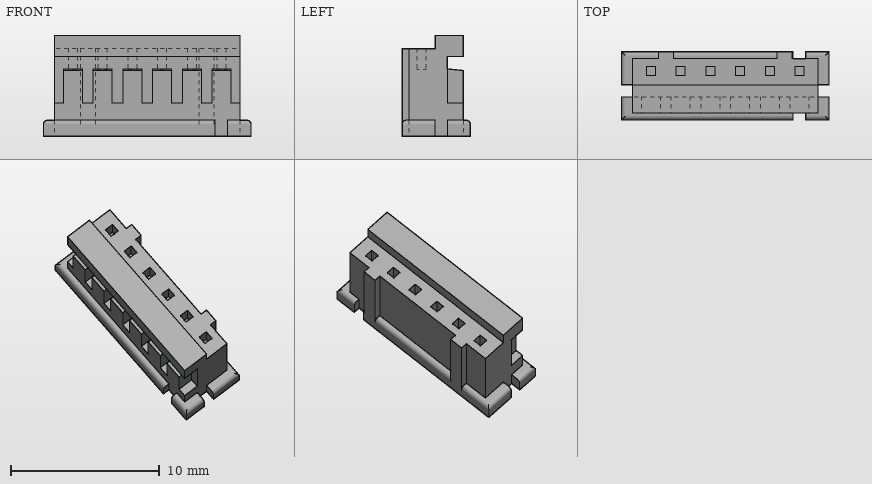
import cadquery as cq

flange_length = 14.0
flange_width = 4.6
flange_height = 1.09
flange_radius = 0.3
body_length = 12.5
body_width = 3.67
body_height = 6.8

ledge_height = 5.91
ledge_front = 0.07
recess_back = -0.74
recess_bottom = 2.24
recess_top = 5.36

contact_count = 6
contact_pitch = 2.0
tooth_width = 1.29
tooth_back_height = 4.55
tooth_front_height = 4.44
hole_size = 0.6
hole_y = 1.0
hole_depth = 1.4

rib_width = 1.01
rib_offset = 3.99

gap_left = 4.56
gap_width = 0.84

body_front = -body_width / 2
body_back = body_width / 2
flange_back = flange_width / 2


def block(x_min, x_max, y_min, y_max, z_min, z_max):
    """Axis-aligned box given by its limits."""
    size = (x_max - x_min, y_max - y_min, z_max - z_min)
    return cq.Workplane("XY").box(*size, centered=False).translate((x_min, y_min, z_min))


def side_prism(outline, length, x_center):
    """Extrude a (Y, Z) outline along X, centred on x_center."""
    prism = cq.Workplane("YZ").polyline(outline).close().extrude(length / 2, both=True)
    return prism.translate((x_center, 0, 0))


def make_flange():
    """Base plate with rounded top edges, split by gaps at both ends and both long sides."""
    plate = cq.Workplane("XY").box(
        flange_length, flange_width, flange_height, centered=(True, True, False)
    )
    plate = plate.faces(">Z").edges().fillet(flange_radius)
    end = flange_length / 2
    end_gaps = block(-end, end, recess_back, ledge_front, 0, flange_height)
    long_side_gaps = block(
        gap_left, gap_left + gap_width, -flange_back, flange_back, 0, flange_height
    )
    return plate.cut(end_gaps).cut(long_side_gaps)


def make_body():
    """Housing with a low rear ledge and a bar that overhangs the front recess."""
    outline = [
        (body_front, 0),
        (body_back, 0),
        (body_back, ledge_height),
        (ledge_front, ledge_height),
        (ledge_front, body_height),
        (body_front, body_height),
        (body_front, recess_top),
        (recess_back, recess_top),
        (recess_back, recess_bottom),
        (body_front, recess_bottom),
    ]
    return side_prism(outline, body_length, 0)


def make_tooth(x_center):
    """Comb tooth standing in the front recess, its top sloping down to the front."""
    outline = [
        (body_front, recess_bottom),
        (recess_back, recess_bottom),
        (recess_back, tooth_back_height),
        (body_front, tooth_front_height),
    ]
    return side_prism(outline, tooth_width, x_center)


def make_rib(x_center):
    """Rib on the rear face, from the base up to the ledge."""
    half = rib_width / 2
    return block(x_center - half, x_center + half, body_back, flange_back, 0, ledge_height)


contact_positions = [
    (i - (contact_count - 1) / 2) * contact_pitch for i in range(contact_count)
]

result = make_body().union(make_flange())

for x in contact_positions:
    result = result.union(make_tooth(x))

for x in (-rib_offset, rib_offset):
    result = result.union(make_rib(x))

holes = (
    cq.Workplane("XY", origin=(0, 0, ledge_height))
    .pushPoints([(x, hole_y) for x in contact_positions])
    .rect(hole_size, hole_size)
    .extrude(-hole_depth)
)
result = result.cut(holes)